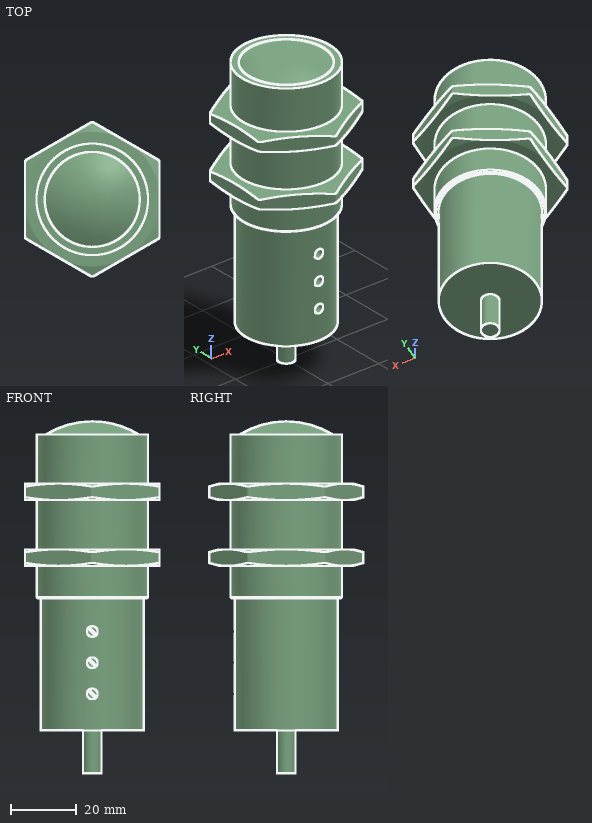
import cadquery as cq
import math

total_height = 107.23
body_diameter = 34.0
body_length = 50.0
body_chamfer = 0.5
cap_diameter = 31.5
cap_length = 40.13
cable_diameter = 5.7
cable_length = 13.1

cap_bottom = cable_length
cap_top = cap_bottom + cap_length
body_top = cap_top + body_length

lens_diameter = 28.9
lens_bore_diameter = 29.0
lens_recess = 0.2
lens_rim = body_top - lens_recess

nut_sides = 6
nut_width = 41.0
nut_corner_fillet = 1.0
nut_thickness = 5.0
nut_bevel_angle = 16.0
nut_spacing = 20.0
upper_nut_setback = 15.0
nut_count = 2

screw_diameter = 3.24
screw_depth = 3.5
screw_slot_length = 2.6
screw_slot_width = 0.5
screw_slot_depth = 0.5
screw_slot_angle = -45.0
screw_spacing = 9.5
first_screw_setback = 10.0
screw_count = 3


def rod(diameter, bottom, top):
    return cq.Workplane("XY").workplane(offset=bottom).circle(diameter / 2).extrude(top - bottom)


def make_body():
    body = rod(body_diameter, cap_top, body_top).faces("<Z").chamfer(body_chamfer)
    return body.cut(rod(lens_bore_diameter, lens_rim, body_top))


def make_lens():
    """Spherical cap revolved from its rim to its apex."""
    rim_radius = lens_diameter / 2
    rise = total_height - lens_rim
    sphere_radius = (rim_radius**2 + rise**2) / (2 * rise)
    half_angle = math.asin(rim_radius / sphere_radius) / 2
    sphere_center = total_height - sphere_radius
    arc_middle = (
        sphere_radius * math.sin(half_angle),
        sphere_center + sphere_radius * math.cos(half_angle),
    )
    return (
        cq.Workplane("XZ")
        .moveTo(0, lens_rim)
        .lineTo(rim_radius, lens_rim)
        .threePointArc(arc_middle, (0, total_height))
        .close()
        .revolve(360, (0, 0), (0, 1))
    )


def make_nut(bottom):
    """Hexagon with flats facing X, rounded corners and both faces bevelled down to the flats."""
    flat_radius = nut_width / 2
    corner_radius = flat_radius / math.cos(math.pi / nut_sides)
    bevel_height = (corner_radius - flat_radius) * math.tan(math.radians(nut_bevel_angle))
    hexagon = (
        cq.Workplane("XY")
        .workplane(offset=bottom)
        .polygon(nut_sides, nut_width, circumscribed=True)
        .extrude(nut_thickness)
        .edges("|Z")
        .fillet(nut_corner_fillet)
    )
    turned_blank = (
        cq.Workplane("XZ")
        .moveTo(0, bottom)
        .lineTo(flat_radius, bottom)
        .lineTo(corner_radius, bottom + bevel_height)
        .lineTo(corner_radius, bottom + nut_thickness - bevel_height)
        .lineTo(flat_radius, bottom + nut_thickness)
        .lineTo(0, bottom + nut_thickness)
        .close()
        .revolve(360, (0, 0), (0, 1))
    )
    return hexagon.intersect(turned_blank)


def make_screw_pocket(height):
    """Radial hole whose floor is the screw head, with a diagonal driver slot."""
    cap_radius = cap_diameter / 2
    front = cq.Workplane("XZ", origin=(0, -cap_radius, height))
    hole = front.circle(screw_diameter / 2).extrude(-screw_depth)
    slot = (
        front.transformed(rotate=(0, 0, screw_slot_angle))
        .rect(screw_slot_length, screw_slot_width)
        .extrude(-(screw_depth + screw_slot_depth))
    )
    return hole.union(slot)


result = rod(cable_diameter, 0, cap_bottom)
result = result.union(rod(cap_diameter, cap_bottom, cap_top))
result = result.union(make_body())
result = result.union(make_lens())

for i in range(nut_count):
    nut_top = body_top - upper_nut_setback - i * nut_spacing
    result = result.union(make_nut(nut_top - nut_thickness))

for i in range(screw_count):
    screw_height = cap_top - first_screw_setback - i * screw_spacing
    result = result.cut(make_screw_pocket(screw_height))